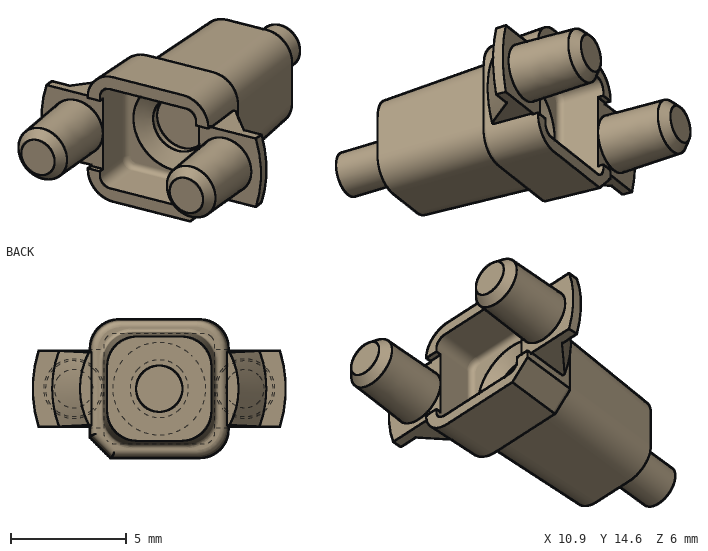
import cadquery as cq

shell_half = 3.0
shell_length = 2.92
barrel_half = 2.43
barrel_end = 8.58
draft_angle = 1.85
corner_radius = 1.27
key_chamfer = 0.9
shoulder_round = 0.27
neck_fillet = 0.16

cable_radius = 1.0
cable_end = 11.45

wall = 0.61
cavity_half = shell_half - wall
cavity_depth = 2.22
cavity_corner_radius = 0.5
cavity_floor_fillet = 0.26
funnel_mouth_radius = 2.0
bore_radius = 1.25
funnel_depth = 0.4
bore_depth = 0.35

flange_radius = 5.46
flange_front = 0.27
flange_back = 0.76
flange_half_height = 1.65
flange_draft_angle = 2.5
gusset_back = 2.29
gusset_base_radius = 4.62
gusset_top_radius = 3.42
notch_half_height = 1.7

pin_offset = 3.69
pin_base_radius = 1.29
pin_shoulder_radius = 1.21
pin_tip_radius = 0.83
pin_shoulder = -2.7
pin_tip = -3.11


def section_plane(y):
    """Plane across the cable axis at y, facing +Y."""
    return cq.Workplane(cq.Plane(origin=(0, y, 0), xDir=(-1, 0, 0), normal=(0, 1, 0)))


def tapered_block(y, half_side, length):
    """Square block that starts at y and narrows towards +Y."""
    side = 2 * half_side
    return section_plane(y).rect(side, side).extrude(length, taper=draft_angle)


def revolve_about_y(profile):
    """Full turn about the Y axis of a closed (radius, y) profile."""
    return cq.Workplane("XY").polyline(profile).close().revolve(360, (0, 0, 0), (0, 1, 0))


def make_shell():
    block = tapered_block(0, shell_half, shell_length)
    left_corners = block.faces("<X").edges("not #Y")
    upper_right_corner = block.faces(">X").edges("not #Y").edges(">Z")
    rounded = left_corners.add(upper_right_corner).fillet(corner_radius)
    keyed = rounded.faces(">X").edges("not #Y").edges("<Z").chamfer(key_chamfer)
    return keyed.faces(">Y").edges().fillet(shoulder_round)


def make_barrel():
    block = tapered_block(shell_length, barrel_half, barrel_end - shell_length)
    return block.edges("not #Y").fillet(corner_radius)


def make_cable():
    return section_plane(barrel_end).circle(cable_radius).extrude(cable_end - barrel_end)


def make_wings():
    """Flange on both sides, backed by cone-shaped gussets."""
    turned = revolve_about_y([
        (0, flange_front),
        (flange_radius, flange_front),
        (flange_radius, flange_back),
        (gusset_base_radius, flange_back),
        (gusset_top_radius, gusset_back),
        (0, gusset_back),
    ])
    slab = (
        section_plane(flange_front)
        .rect(3 * flange_radius, 2 * flange_half_height)
        .extrude(gusset_back - flange_front, taper=flange_draft_angle)
    )
    return turned.intersect(slab)


def make_notch():
    """Gap across both side walls, from the mouth to the front of the flange."""
    return section_plane(0).rect(2 * flange_radius, 2 * notch_half_height).extrude(flange_front)


def make_cavity():
    side = 2 * cavity_half
    pocket = section_plane(0).rect(side, side).extrude(cavity_depth)
    pocket = pocket.edges("|Y").fillet(cavity_corner_radius)
    pocket = pocket.faces(">Y").edges().fillet(cavity_floor_fillet)
    funnel_end = cavity_depth + funnel_depth
    bore_end = funnel_end + bore_depth
    funnel = revolve_about_y([
        (0, cavity_depth),
        (funnel_mouth_radius, cavity_depth),
        (bore_radius, funnel_end),
        (bore_radius, bore_end),
        (0, bore_end),
    ])
    return pocket.union(funnel)


def make_pin(x):
    pin = revolve_about_y([
        (0, flange_front),
        (pin_base_radius, flange_front),
        (pin_shoulder_radius, pin_shoulder),
        (pin_tip_radius, pin_tip),
        (0, pin_tip),
    ])
    return pin.translate((x, 0, 0))


def make_housing():
    """Shell and barrel, blended where the barrel leaves the shoulder."""
    housing = make_shell().union(make_barrel())
    reach = barrel_half + neck_fillet / 2
    margin = neck_fillet / 2
    neck = cq.selectors.BoxSelector(
        (-reach, shell_length - margin, -reach),
        (reach, shell_length + margin, reach),
        boundingbox=True,
    )
    return housing.edges(neck).fillet(neck_fillet)


result = make_housing().union(make_wings())
result = result.cut(make_notch()).cut(make_cavity())
result = result.union(make_cable())
for side in (-1, 1):
    result = result.union(make_pin(side * pin_offset))